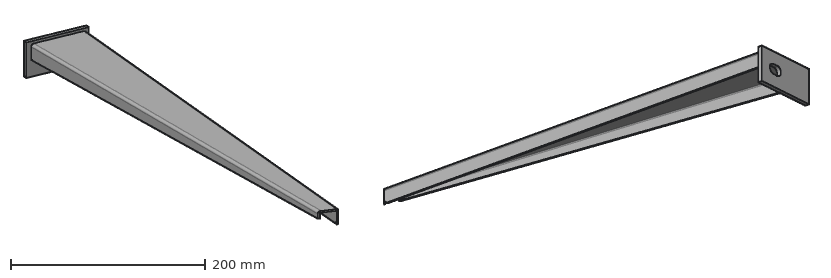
import cadquery as cq

length = 516.0
plate_thickness = 5.0
plate_width = 75.0
plate_height = 40.0
slot_length = 17.5
slot_height = 11.5
slot_y = 16.0

sheet = 2.0
plate_margin = 3.0
bend_radius = 3.0
back_y = plate_width / 2 - plate_margin
root_front_y = -31.5
top_z = plate_height / 2 - plate_margin
bottom_z = -1.0

back_flange_end = length - 1.5
front_flange_end = length - 5.5
web_front_end = length - 4.0
tip_front_y = 12.5
tip_flange_bottom_z = 8.0
corner_chamfer = 3.0

overrun = 26.0
stock_end = length + overrun
taper = (tip_front_y - root_front_y) / (front_flange_end - plate_thickness)


def front_y(x):
    """Outer Y of the tapered front flange at position x."""
    return root_front_y + taper * (x - plate_thickness)


def channel_block(start_x, end_x, inset, radius):
    """Tapered block inset from the channel's outside, with rounded upper long edges."""
    outline = [
        (start_x, back_y - inset),
        (end_x, back_y - inset),
        (end_x, front_y(end_x) + inset),
        (start_x, front_y(start_x) + inset),
    ]
    base_z = bottom_z - inset
    block = (
        cq.Workplane("XY", origin=(0, 0, base_z))
        .polyline(outline)
        .close()
        .extrude(top_z - inset - base_z)
    )
    return block.faces(">Z").edges("not |Y").fillet(radius)


def make_plate():
    plate = cq.Workplane("XY").box(plate_thickness, plate_width, plate_height)
    plate = plate.translate((plate_thickness / 2, 0, 0))
    slot = (
        cq.Workplane("YZ", origin=(-overrun, 0, 0))
        .center(slot_y, 0)
        .slot2D(slot_length, slot_height)
        .extrude(plate_thickness + 2 * overrun)
    )
    return plate.cut(slot)


def make_end_trim():
    """Plan shape that gives the free end its slanted edge and stepped flanges."""
    outline = [
        (plate_thickness, back_y),
        (back_flange_end, back_y),
        (length, back_y - bend_radius),
        (web_front_end, tip_front_y + bend_radius),
        (front_flange_end, tip_front_y),
        (front_flange_end, root_front_y),
        (plate_thickness, root_front_y),
    ]
    return (
        cq.Workplane("XY", origin=(0, 0, bottom_z))
        .polyline(outline)
        .close()
        .extrude(top_z - bottom_z)
    )


def make_front_flange_cut():
    """Wedge that makes the front flange shallower towards the free end."""
    slope = (tip_flange_bottom_z - bottom_z) / (front_flange_end - plate_thickness)
    stock_end_z = bottom_z + slope * (stock_end - plate_thickness)
    wedge = (
        cq.Workplane("XZ", origin=(0, back_y - bend_radius, 0))
        .polyline([(plate_thickness, bottom_z), (stock_end, stock_end_z), (stock_end, bottom_z)])
        .close()
        .extrude(plate_width)
    )
    return wedge


def make_corner_cut():
    """Corner bevel at the lower free end of the back flange."""
    corner = [
        (back_flange_end - corner_chamfer, bottom_z),
        (back_flange_end, bottom_z),
        (back_flange_end, bottom_z + corner_chamfer),
    ]
    return cq.Workplane("XZ", origin=(0, back_y, 0)).polyline(corner).close().extrude(sheet)


outside = channel_block(plate_thickness, stock_end, 0, bend_radius)
inside = channel_block(plate_thickness, stock_end + overrun, sheet, bend_radius - sheet)
channel = outside.cut(inside).intersect(make_end_trim())
channel = channel.cut(make_front_flange_cut()).cut(make_corner_cut())

result = make_plate().union(channel)